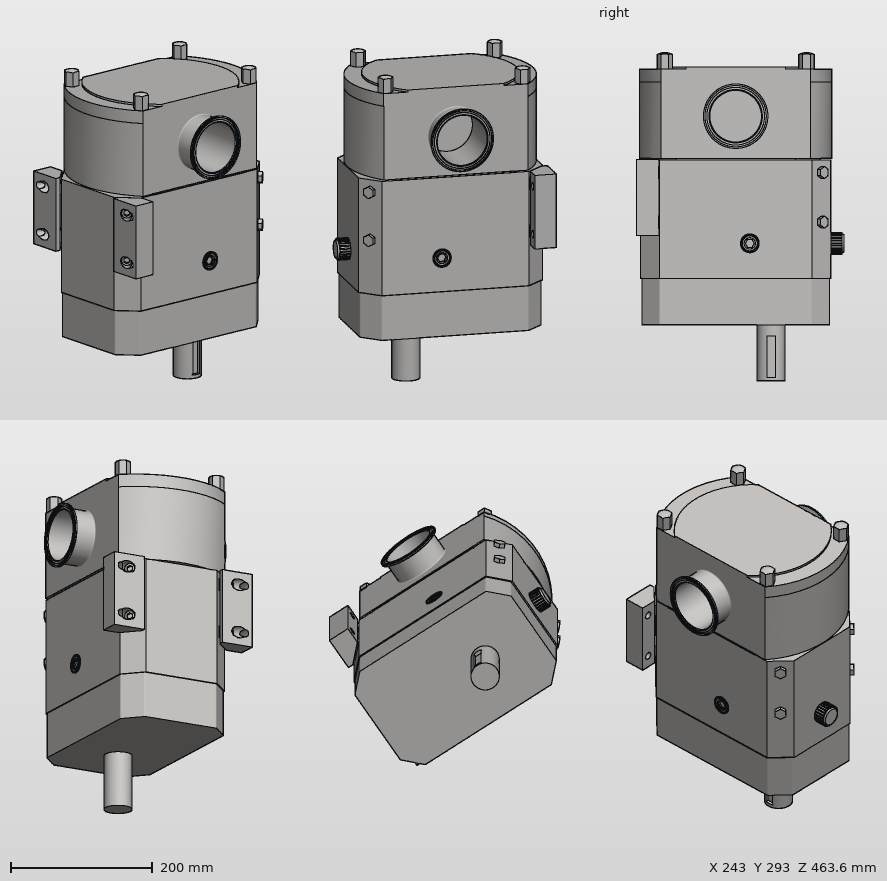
import cadquery as cq
import math


HEAD_RADIUS = 136.0
HEAD_HALF_WIDTH = 86.0
HEAD_BODY_HEIGHT = 107.5
COVER_TOP = 126.0
COVER_STEP = 0.1
PLATE_RADIUS = 111.0
PLATE_TOP = 129.0
NECK_RADIUS = 120.0
NECK_HALF_WIDTH = 85.3

NUT_X = 75.5
NUT_Y = 100.0
NUT_ACROSS_FLATS = 19.0
NUT_TOP = 149.43
NUT_DOME_RISE = 2.1

PORT_Z = 59.5
PORT_FACE_X = 121.5
TUBE_RADIUS = 39.5
BORE_RADIUS = 36.5
BORE_LEAD_IN = 1.2
BORE_FLOOR_X = 40.0
FLANGE_RADIUS = 45.5
FLANGE_RIM = 2.4
FLANGE_TAPER = 2.4
TUBE_FILLET = 1.4
GASKET_GROOVE_RADIUS = 42.0
GASKET_GROOVE_WIDTH = 2.6
GASKET_GROOVE_DEPTH = 1.3

CASE_HALF_X = 84.6
CASE_HALF_Y = 134.5
CASE_CHAMFER = 27.0
CASE_TOP = -2.3
CASE_BOTTOM = -169.5
LOWER_COVER_HALF_X = 83.2
LOWER_COVER_HALF_Y = 132.5
LOWER_COVER_CHAMFER = 25.5
LOWER_COVER_BOTTOM = -235.0
LOWER_COVER_FILLET = 3.0

SHAFT_Y = 50.0
SHAFT_RADIUS = 20.0
SHAFT_BOTTOM = -314.2
KEYWAY_WIDTH = 12.0
KEYWAY_DEPTH = 5.0
KEYWAY_TOP = -251.0
KEYWAY_BOTTOM = -309.0

PLUG_Y = 20.0
PLUG_Z = -120.0
PLUG_RADIUS = 13.3
PLUG_HEIGHT = 1.4
PLUG_GROOVE_OUTER = 12.1
PLUG_GROOVE_INNER = 10.6
PLUG_GROOVE_DEPTH = 10.0
PLUG_COUNTERBORE_RADIUS = 8.0
PLUG_COUNTERBORE_DEPTH = 1.5
PLUG_SOCKET_FLATS = 11.0
PLUG_SOCKET_DEPTH = 4.0

CAP_Z = -120.0
CAP_RADIUS = 15.7
CAP_SHOULDER_Y = 150.2
CAP_TOP_Y = 152.97
CAP_TOP_BASE_RADIUS = 13.5
CAP_TOP_RADIUS = 12.5
FLUTE_COUNT = 24
FLUTE_RADIUS = 0.8

BOLT_HEIGHTS = (-20.0, -90.0)
BOLT_X = CASE_HALF_X - CASE_CHAMFER / 2
BOLT_Y = CASE_HALF_Y - CASE_CHAMFER / 2
BOLT_ACROSS_FLATS = 15.0
BOLT_HEAD_HEIGHT = 6.0

FOOT_OUTER_X = 111.5
FOOT_INNER_X = 63.0
FOOT_FRONT_Y = -140.0
FOOT_BACK_Y = -108.5
FOOT_TOP = -1.5
FOOT_BOTTOM = -109.0
FOOT_GAP = 2.3
FOOT_PAD_WIDTH = 27.0
FOOT_PAD_SHIFT = 4.0
FOOT_PAD_HEIGHT = 17.5
FOOT_HOLE_X = 100.0
FOOT_HOLE_DIAMETER = 10.5
FOOT_BOLT_BORE = 16.6
FOOT_BOLT_SEAT = 8.5
SCREW_HEAD_RADIUS = 7.3
SCREW_HEAD_HEIGHT = 8.0
SCREW_SOCKET_FLATS = 8.0
SCREW_SOCKET_DEPTH = 4.0

SIDES = (-1, 1)
ACROSS_CORNERS = 2 / math.sqrt(3)
OVERLAP = 1.0
BORE_CUT_LENGTH = 60.0


def slab(outline, bottom, top):
    """Extrude a horizontal outline between two heights."""
    return outline.extrude(top - bottom).translate((0, 0, bottom))


def flatted_disc(radius, half_width, bottom, top):
    """Disc with its two X sides cut flat."""
    disc = slab(cq.Workplane("XY").circle(radius), bottom, top)
    return disc.intersect(slab(cq.Workplane("XY").rect(2 * half_width, 2 * radius), bottom, top))


def chamfered_block(half_x, half_y, chamfer, bottom, top):
    """Box with its four vertical edges chamfered."""
    block = slab(cq.Workplane("XY").rect(2 * half_x, 2 * half_y), bottom, top)
    return block.edges("|Z").chamfer(chamfer)


def side_plane(side, x, y, z):
    """Plane on a side face, its normal pointing outward along X."""
    return cq.Plane(origin=(side * x, y, z), xDir=(0, 1, 0), normal=(side, 0, 0))


def corner_plane(side_x, side_y, z, offset=0.0):
    """Plane on a case corner face at a bolt axis, local X vertical, normal pointing outward."""
    shift = offset / math.sqrt(2)
    return cq.Plane(
        origin=(side_x * (BOLT_X + shift), side_y * (BOLT_Y + shift), z),
        xDir=(0, 0, 1),
        normal=(side_x, side_y, 0),
    )


def hexagon(plane, across_flats, height):
    """Hexagonal prism with a corner on the plane's local X axis."""
    return cq.Workplane(plane).polygon(6, across_flats * ACROSS_CORNERS).extrude(height)


def pump_head():
    """Head body, cover rim, raised top plate and the recessed neck above the case."""
    head = flatted_disc(HEAD_RADIUS, HEAD_HALF_WIDTH, 0, HEAD_BODY_HEIGHT)
    head = head.union(flatted_disc(HEAD_RADIUS + COVER_STEP, HEAD_HALF_WIDTH, HEAD_BODY_HEIGHT, COVER_TOP))
    head = head.union(flatted_disc(PLATE_RADIUS, HEAD_HALF_WIDTH, COVER_TOP, PLATE_TOP))
    return head.union(flatted_disc(NECK_RADIUS, NECK_HALF_WIDTH, CASE_TOP, 0))


def cover_nut(x, y):
    """Hexagonal nut with a shallow domed top and corners pointing along Y."""
    base = cq.Plane(origin=(x, y, COVER_TOP), xDir=(0, 1, 0), normal=(0, 0, 1))
    nut = hexagon(base, NUT_ACROSS_FLATS, NUT_TOP - COVER_TOP)
    half_flats = NUT_ACROSS_FLATS / 2
    dome_radius = (half_flats**2 + NUT_DOME_RISE**2) / (2 * NUT_DOME_RISE)
    dome = cq.Workplane("XY").sphere(dome_radius).translate((x, y, NUT_TOP - dome_radius))
    return nut.intersect(dome)


def port_solid(side):
    """Tube with a clamp flange, filleted where it leaves the head."""
    rim_back = PORT_FACE_X - FLANGE_RIM
    taper_back = rim_back - FLANGE_TAPER
    profile = (
        cq.Workplane("XZ")
        .moveTo(HEAD_HALF_WIDTH - OVERLAP, 0)
        .lineTo(HEAD_HALF_WIDTH - OVERLAP, TUBE_RADIUS + TUBE_FILLET)
        .lineTo(HEAD_HALF_WIDTH, TUBE_RADIUS + TUBE_FILLET)
        .radiusArc((HEAD_HALF_WIDTH + TUBE_FILLET, TUBE_RADIUS), -TUBE_FILLET)
        .lineTo(taper_back, TUBE_RADIUS)
        .lineTo(rim_back, FLANGE_RADIUS)
        .lineTo(PORT_FACE_X, FLANGE_RADIUS)
        .lineTo(PORT_FACE_X, 0)
        .close()
    )
    port = profile.revolve(360, (0, 0, 0), (1, 0, 0)).translate((0, 0, PORT_Z))
    return port if side > 0 else port.mirror("YZ")


def port_cut(side):
    """Blind bore with a lead-in chamfer, and the gasket groove in the flange face."""
    face = side_plane(side, PORT_FACE_X, 0, PORT_Z)
    bore = cq.Workplane(face).circle(BORE_RADIUS).extrude(BORE_FLOOR_X - PORT_FACE_X)
    lead_in = cq.Solid.makeCone(
        BORE_RADIUS + BORE_LEAD_IN, BORE_RADIUS, BORE_LEAD_IN, face.origin, -face.zDir
    )
    groove = (
        cq.Workplane(face)
        .circle(GASKET_GROOVE_RADIUS + GASKET_GROOVE_WIDTH / 2)
        .circle(GASKET_GROOVE_RADIUS - GASKET_GROOVE_WIDTH / 2)
        .extrude(-GASKET_GROOVE_DEPTH)
    )
    return bore.union(cq.Workplane(lead_in)).union(groove)


def gear_case():
    """Chamfered case with a slightly smaller lower cover whose vertical edges are rounded."""
    case = chamfered_block(CASE_HALF_X, CASE_HALF_Y, CASE_CHAMFER, CASE_BOTTOM, CASE_TOP)
    cover = chamfered_block(
        LOWER_COVER_HALF_X, LOWER_COVER_HALF_Y, LOWER_COVER_CHAMFER, LOWER_COVER_BOTTOM, CASE_BOTTOM
    )
    return case.union(cover.edges("|Z").fillet(LOWER_COVER_FILLET))


def drive_shaft():
    """Shaft with a closed keyway on its +X side."""
    shaft = slab(cq.Workplane("XY").circle(SHAFT_RADIUS), SHAFT_BOTTOM, LOWER_COVER_BOTTOM)
    keyway = slab(
        cq.Workplane("XY").rect(2 * KEYWAY_DEPTH, KEYWAY_WIDTH), KEYWAY_BOTTOM, KEYWAY_TOP
    ).translate((SHAFT_RADIUS, 0, 0))
    return shaft.cut(keyway).translate((0, SHAFT_Y, 0))


def plug_solid(side):
    """Round plug standing slightly proud of the case side."""
    face = side_plane(side, CASE_HALF_X, PLUG_Y, PLUG_Z)
    return cq.Workplane(face).circle(PLUG_RADIUS).extrude(PLUG_HEIGHT)


def plug_cut(side):
    """Ring groove inside the plug rim, and the counterbored hexagonal key socket at its centre."""
    face = side_plane(side, CASE_HALF_X + PLUG_HEIGHT, PLUG_Y, PLUG_Z)
    ring = cq.Workplane(face).circle(PLUG_GROOVE_OUTER).circle(PLUG_GROOVE_INNER).extrude(-PLUG_GROOVE_DEPTH)
    counterbore = cq.Workplane(face).circle(PLUG_COUNTERBORE_RADIUS).extrude(-PLUG_COUNTERBORE_DEPTH)
    return ring.union(counterbore).union(hexagon(face, PLUG_SOCKET_FLATS, -PLUG_SOCKET_DEPTH))


def filler_cap():
    """Round cap with flutes around its side and a tapered top."""
    base = cq.Plane(origin=(0, CASE_HALF_Y, CAP_Z), xDir=(1, 0, 0), normal=(0, 1, 0))
    body_height = CAP_SHOULDER_Y - CASE_HALF_Y
    body = cq.Workplane(base).circle(CAP_RADIUS).extrude(body_height)
    flutes = (
        cq.Workplane(base)
        .polarArray(CAP_RADIUS, 0, 360, FLUTE_COUNT)
        .circle(FLUTE_RADIUS)
        .extrude(body_height)
    )
    top = cq.Solid.makeCone(
        CAP_TOP_BASE_RADIUS,
        CAP_TOP_RADIUS,
        CAP_TOP_Y - CAP_SHOULDER_Y,
        cq.Vector(0, CAP_SHOULDER_Y, CAP_Z),
        cq.Vector(0, 1, 0),
    )
    return body.cut(flutes).union(cq.Workplane(top))


def foot_pad(side, z):
    """Spacer pad between the foot and the case corner face."""
    return (
        cq.Workplane(corner_plane(side, -1, z))
        .center(0, -side * FOOT_PAD_SHIFT)
        .rect(FOOT_PAD_HEIGHT, FOOT_PAD_WIDTH)
        .extrude(FOOT_GAP)
    )


def foot_screw_head(side, z):
    """Socket head screw seated on the floor of the foot's angled bore."""
    seat = corner_plane(side, -1, z, FOOT_BOLT_SEAT)
    top = corner_plane(side, -1, z, FOOT_BOLT_SEAT + SCREW_HEAD_HEIGHT)
    head = cq.Workplane(seat).circle(SCREW_HEAD_RADIUS).extrude(SCREW_HEAD_HEIGHT)
    return head.cut(hexagon(top, SCREW_SOCKET_FLATS, -SCREW_SOCKET_DEPTH))


def foot(side):
    """Foot facing the case corner, with spacer pads, straight mounting holes and angled screw bores."""
    face_sum = BOLT_X + BOLT_Y + FOOT_GAP * math.sqrt(2)
    corners = [
        (side * FOOT_OUTER_X, FOOT_FRONT_Y),
        (side * FOOT_OUTER_X, FOOT_BACK_Y),
        (side * (face_sum + FOOT_BACK_Y), FOOT_BACK_Y),
        (side * FOOT_INNER_X, FOOT_INNER_X - face_sum),
        (side * FOOT_INNER_X, FOOT_FRONT_Y),
    ]
    body = slab(cq.Workplane("XY").polyline(corners).close(), FOOT_BOTTOM, FOOT_TOP)
    for z in BOLT_HEIGHTS:
        bore = (
            cq.Workplane(corner_plane(side, -1, z, FOOT_BOLT_SEAT))
            .circle(FOOT_BOLT_BORE / 2)
            .extrude(BORE_CUT_LENGTH)
        )
        hole = (
            cq.Workplane("XZ", origin=(side * FOOT_HOLE_X, FOOT_BACK_Y, z))
            .circle(FOOT_HOLE_DIAMETER / 2)
            .extrude(FOOT_BACK_Y - FOOT_FRONT_Y)
        )
        body = body.cut(bore).cut(hole).union(foot_pad(side, z)).union(foot_screw_head(side, z))
    return body


result = gear_case().union(pump_head()).union(drive_shaft()).union(filler_cap())
for side in SIDES:
    result = result.union(port_solid(side)).cut(port_cut(side))
    result = result.union(plug_solid(side)).cut(plug_cut(side))
    result = result.union(foot(side))
    for nut_side in SIDES:
        result = result.union(cover_nut(side * NUT_X, nut_side * NUT_Y))
    for bolt_z in BOLT_HEIGHTS:
        result = result.union(hexagon(corner_plane(side, 1, bolt_z), BOLT_ACROSS_FLATS, BOLT_HEAD_HEIGHT))